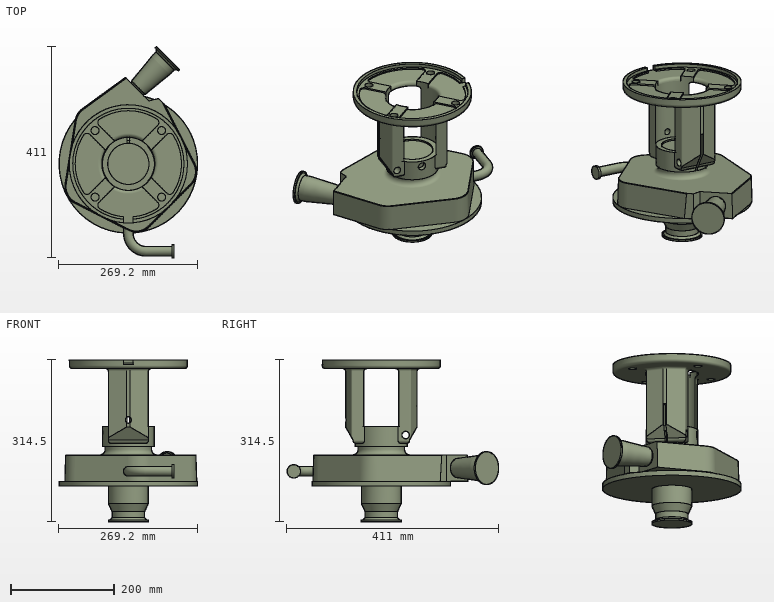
import cadquery as cq
import math


inlet_pipe_radius = 38.8
inlet_neck_radius = 31.75
inlet_ferrule_radius = 39.0
inlet_neck_top = 19.5
inlet_taper_top = 35.0

base_radius = 134.6
base_bottom = 69.0
base_top = 78.5

casing_top = 130.0
casing_inradius = 115.3
casing_side_angles = [27.0, -45.0, -117.0, -189.0]
casing_wide_side_distance = 139.2
casing_wide_side_angle = -234.0
casing_corner_radius = 35.0
casing_draft = 1.5
casing_edge_chamfer = 1.0

outlet_angle = 45.0
outlet_face_distance = 114.7
outlet_offset = 90.7
outlet_throat_radius = 16.0
outlet_small_radius = 18.8
outlet_pipe_radius = 25.0
outlet_ferrule_radius = 32.0
outlet_neck_length = 3.5
outlet_cone_end = 179.5
outlet_end = 199.7
casing_mid = (base_top + casing_top) / 2
notch_corner_x = 40.0
notch_tip = (58.5, 127.0)

drain_radius = 9.5
drain_height = 97.9
drain_bend_radius = 35.0
drain_bend_start = 134.9
drain_start = 100.0
drain_end = 88.8
drain_ferrule_radius = 13.15
drain_ferrule_thickness = 4.5

neck_radius = 45.4
neck_fillet = 10.0
hub_radius = 50.6
hub_bottom = 145.7
hub_top = 185.2
hub_recess_radius = 40.0
hub_recess_depth = 3.0
hub_hole_radius = 7.5
hub_hole_height = 173.5
hub_hole_depth = 10.0

leg_half_width = 39.0
leg_corner_y = 57.5
leg_outer_y = 69.5
leg_ridge_half_width = 3.1
leg_bottom = 152.0
leg_corner_fillet = 2.5
leg_bottom_fillet = 6.0
leg_chamfer_top = 184.0
leg_chamfer_tilt = 30.0
leg_foot_y = 55.0
leg_top_fillet = 5.0
leg_hole_radius = 6.0
leg_hole_height = 197.7
clamp_slot_width = 4.6
clamp_slot_top = 225.0
clamp_bolt_radius = 7.0
clamp_bolt_y = 47.3
clamp_bolt_height = 168.4

flange_radius = 114.8
flange_bottom = 297.2
flange_top = 314.5
flange_edge_round = 6.0
spigot_radius = 108.0
spigot_floor = 308.2
pocket_floor = 305.5
pocket_radius = 103.2
pocket_corner_radius = 8.0
rib_half_width = 12.5
bore_clearance = 0.9
bore_radius = hub_radius + bore_clearance
bore_round = 7.0
bolt_circle_radius = 91.4
bolt_hole_radius = 7.7
rim_notch_width = 18.5

select_margin = 0.1

ferrule_thickness = 3.5
ferrule_back_height = 8.0
ferrule_lip = 3.0


def polar(radius, degrees):
    """Point at a radius and angle in the XY plane."""
    angle = math.radians(degrees)
    return (radius * math.cos(angle), radius * math.sin(angle))


def cylinder(radius, bottom, top):
    return cq.Workplane("XY").workplane(offset=bottom).circle(radius).extrude(top - bottom)


def revolve_profile(points):
    """Revolve (radius, height) points about the Z axis."""
    return cq.Workplane("XZ").polyline(points).close().revolve(360, (0, 0), (0, 1))


def side_crossing(first, second):
    """Corner where two sides, each given as (distance, normal angle), meet."""
    (d1, a1), (d2, a2) = first, second
    a1 = math.radians(a1)
    a2 = math.radians(a2)
    det = math.sin(a2 - a1)
    x = (d1 * math.sin(a2) - d2 * math.sin(a1)) / det
    y = (d2 * math.cos(a1) - d1 * math.cos(a2)) / det
    return (x, y)


def make_inlet():
    return revolve_profile([
        (0, 0),
        (inlet_ferrule_radius, 0),
        (inlet_ferrule_radius, ferrule_thickness),
        (inlet_ferrule_radius - ferrule_lip, ferrule_thickness),
        (inlet_neck_radius, ferrule_back_height),
        (inlet_neck_radius, inlet_neck_top),
        (inlet_pipe_radius, inlet_taper_top),
        (inlet_pipe_radius, base_bottom),
        (0, base_bottom),
    ])


def make_casing():
    sides = [(casing_inradius, angle) for angle in casing_side_angles]
    sides.append((casing_wide_side_distance, casing_wide_side_angle))
    corners = [side_crossing(sides[i - 1], sides[i]) for i in range(len(sides))]
    block = (
        cq.Workplane("XY").workplane(offset=base_top)
        .polyline(corners).close().extrude(casing_top - base_top, taper=casing_draft)
    )
    for x, y in corners[1:]:
        near = cq.selectors.NearestToPointSelector((x, y, casing_mid))
        block = block.edges(near).fillet(casing_corner_radius)
    block = block.faces(">Z").chamfer(casing_edge_chamfer)
    return block.cut(make_outlet_cut())


def make_outlet_cut():
    """Corner beyond the flat outlet face and the stepped edge beside it."""
    far = 2 * casing_inradius
    face_sum = outlet_face_distance * math.sqrt(2)
    tip_x, tip_y = notch_tip
    outline = [
        (face_sum - far, far),
        (notch_corner_x, face_sum - notch_corner_x),
        notch_tip,
        (tip_x + far, tip_y - far),
        (far, far),
    ]
    return (
        cq.Workplane("XY").workplane(offset=base_top)
        .polyline(outline).close().extrude(casing_top - base_top)
    )


def make_outlet():
    face = outlet_face_distance
    pipe = revolve_profile([
        (0, face - outlet_neck_length),
        (outlet_throat_radius, face - outlet_neck_length),
        (outlet_throat_radius, face),
        (outlet_small_radius, face + outlet_neck_length),
        (outlet_pipe_radius, outlet_cone_end),
        (outlet_pipe_radius, outlet_end - ferrule_back_height),
        (outlet_ferrule_radius - ferrule_lip, outlet_end - ferrule_thickness),
        (outlet_ferrule_radius, outlet_end - ferrule_thickness),
        (outlet_ferrule_radius, outlet_end),
        (0, outlet_end),
    ])
    return (
        pipe.rotate((0, 0, 0), (0, 1, 0), 90)
        .translate((0, outlet_offset, casing_mid))
        .rotate((0, 0, 0), (0, 0, 1), outlet_angle)
    )


def make_drain():
    bend_end_y = -(drain_bend_start + drain_bend_radius)
    bend_mid = drain_bend_radius * (1 - math.sqrt(0.5))
    path = (
        cq.Workplane("XY").workplane(offset=drain_height)
        .moveTo(0, -drain_start)
        .lineTo(0, -drain_bend_start)
        .threePointArc((bend_mid, bend_end_y + bend_mid), (drain_bend_radius, bend_end_y))
        .lineTo(drain_end, bend_end_y)
    )
    pipe = (
        cq.Workplane("XZ", origin=(0, -drain_start, drain_height))
        .circle(drain_radius).sweep(path)
    )
    ferrule = (
        cq.Workplane("YZ", origin=(drain_end, bend_end_y, drain_height))
        .circle(drain_ferrule_radius).extrude(-drain_ferrule_thickness)
    )
    return pipe.union(ferrule)


def make_hub():
    neck = (
        cq.Workplane("XZ")
        .moveTo(0, casing_top)
        .lineTo(neck_radius + neck_fillet, casing_top)
        .radiusArc((neck_radius, casing_top + neck_fillet), neck_fillet)
        .lineTo(neck_radius, hub_bottom)
        .lineTo(0, hub_bottom)
        .close().revolve(360, (0, 0), (0, 1))
    )
    hub = cylinder(hub_radius, hub_bottom, hub_top)
    hub = hub.cut(cylinder(hub_recess_radius, hub_top - hub_recess_depth, hub_top))
    side_hole = (
        cq.Workplane("YZ", origin=(-hub_radius, 0, hub_hole_height))
        .circle(hub_hole_radius).extrude(hub_hole_depth)
    )
    return neck.union(hub.cut(side_hole))


def make_leg_column():
    """Solid column with the outline of both legs; the bore later splits it in two."""
    half_outline = [
        (leg_half_width, leg_corner_y),
        (leg_ridge_half_width, leg_outer_y),
        (-leg_ridge_half_width, leg_outer_y),
        (-leg_half_width, leg_corner_y),
    ]
    outline = half_outline + [(-x, -y) for x, y in half_outline]
    column = (
        cq.Workplane("XY").workplane(offset=leg_bottom)
        .polyline(outline).close().extrude(flange_bottom - leg_bottom)
    )
    for x, y in outline:
        if abs(x) == leg_half_width:
            corner = cq.selectors.NearestToPointSelector((x, y, (leg_bottom + flange_bottom) / 2))
            column = column.edges(corner).fillet(leg_corner_fillet)

    chamfer_drop = (leg_outer_y - leg_foot_y) / math.tan(math.radians(leg_chamfer_tilt))
    wedge = (
        cq.Workplane("YZ")
        .polyline([
            (leg_outer_y, leg_chamfer_top),
            (leg_foot_y, leg_chamfer_top - chamfer_drop),
            (leg_foot_y, leg_bottom),
            (leg_outer_y, leg_bottom),
        ])
        .close().extrude(leg_half_width, both=True)
    )
    column = column.cut(wedge).cut(wedge.mirror("XZ"))
    return column.faces("<Z").edges().fillet(leg_bottom_fillet)


def make_pockets():
    """Four sunk sectors between the diagonal ribs, with the bore edge rounded inside them."""
    rib_end = math.sqrt(pocket_radius ** 2 - rib_half_width ** 2)
    depth = flange_top - pocket_floor
    sector = (
        cq.Workplane("XY").workplane(offset=pocket_floor)
        .moveTo(rib_half_width, rib_half_width)
        .lineTo(rib_end, rib_half_width)
        .threePointArc(polar(pocket_radius, 45), (rib_half_width, rib_end))
        .close().extrude(depth)
        .edges("|Z").edges(">X or >Y").fillet(pocket_corner_radius)
    )
    quadrant = (
        cq.Workplane("XY").workplane(offset=flange_bottom)
        .moveTo(rib_half_width, rib_half_width)
        .rect(pocket_radius, pocket_radius, centered=False).extrude(pocket_floor - flange_bottom)
    )
    edge_round = (
        cq.Workplane("XZ")
        .moveTo(bore_radius, pocket_floor)
        .lineTo(bore_radius + bore_round, pocket_floor)
        .radiusArc((bore_radius, pocket_floor - bore_round), -bore_round)
        .close().revolve(360, (0, 0), (0, 1))
    )
    pocket = sector.union(quadrant.intersect(edge_round))
    return [pocket.rotate((0, 0, 0), (0, 0, 1), 45 + 90 * k) for k in range(4)]


def make_bracket():
    """Top flange and the two legs under it."""
    rim = cylinder(flange_radius, flange_bottom, flange_top)
    rim = rim.faces("<Z").edges().fillet(flange_edge_round)
    bracket = rim.union(make_leg_column())
    reach = bolt_circle_radius
    joint = cq.selectors.BoxSelector(
        (-reach, -reach, flange_bottom - select_margin),
        (reach, reach, flange_bottom + select_margin))
    bracket = bracket.edges(joint).fillet(leg_top_fillet)
    bracket = bracket.cut(cylinder(hub_radius, leg_bottom, hub_top))
    bracket = bracket.cut(cylinder(bore_radius, hub_top, flange_top))
    bracket = bracket.cut(cylinder(spigot_radius, spigot_floor, flange_top))
    for pocket in make_pockets():
        bracket = bracket.cut(pocket)

    for k in range(4):
        x, y = polar(bolt_circle_radius, 45 + 90 * k)
        bolt_hole = cylinder(bolt_hole_radius, flange_bottom, flange_top).translate((x, y, 0))
        bracket = bracket.cut(bolt_hole)

    notch_length = flange_radius - bore_radius - bore_round
    notch = (
        cq.Workplane("XY", origin=(0, notch_length / 2 - flange_radius, pocket_floor))
        .rect(rim_notch_width, notch_length).extrude(flange_top - pocket_floor)
    )
    return bracket.cut(notch)


def cut_leg_openings(body):
    """Access hole in the -Y leg; clamping slot and clamp bolt hole in the +Y leg."""
    access_hole = (
        cq.Workplane("XZ", origin=(0, 0, leg_hole_height))
        .circle(leg_hole_radius).extrude(leg_outer_y)
    )
    slot_length = leg_outer_y - hub_recess_radius
    slot = (
        cq.Workplane("XY", origin=(0, hub_recess_radius + slot_length / 2, hub_bottom))
        .rect(clamp_slot_width, slot_length).extrude(clamp_slot_top - hub_bottom)
    )
    bolt_hole = (
        cq.Workplane("YZ", origin=(0, clamp_bolt_y, clamp_bolt_height))
        .circle(clamp_bolt_radius).extrude(leg_half_width, both=True)
    )
    return body.cut(access_hole).cut(slot).cut(bolt_hole)


result = (
    cylinder(base_radius, base_bottom, base_top)
    .union(make_inlet())
    .union(make_casing())
    .union(make_outlet())
    .union(make_drain())
    .union(make_hub())
    .union(make_bracket())
)
result = cut_leg_openings(result)